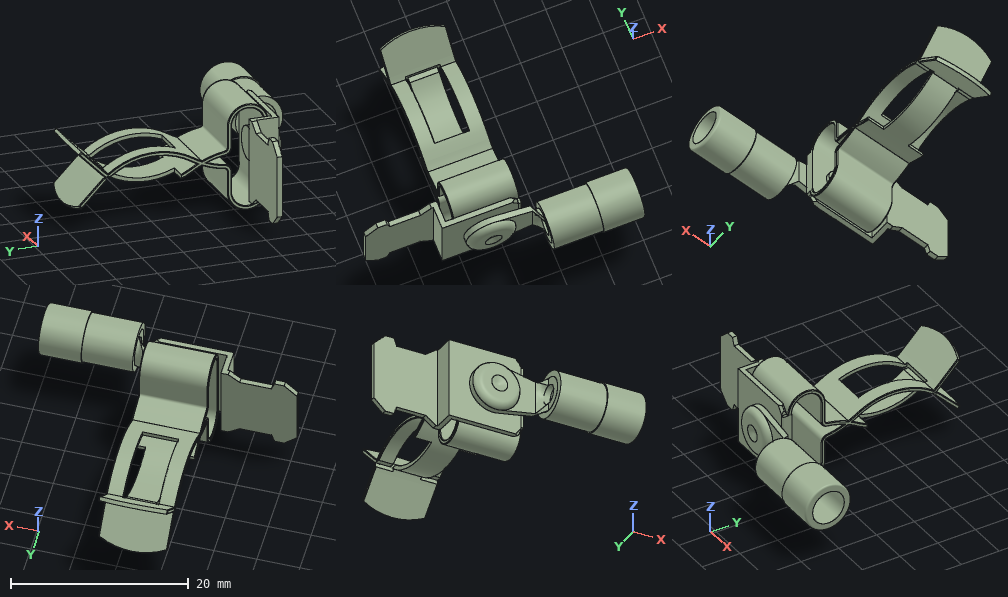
import cadquery as cq
import math


plate = 0.65
bracket_half_height = 5.0
bracket_left = -13.8
bracket_right = 3.65
bracket_fold_x = -5.6
bracket_step = 3.35
flange_end_half_height = 3.65
flange_neck_half_height = 4.05
flange_shoulder_start = 1.48
flange_shoulder_end = 2.62
flange_neck_start = 2.95
flange_neck_end = 6.65
flange_full_start = 7.98
corner_cut_x = 0.35
corner_cut_z = 0.43
corner_bevel = 0.3

strip = 0.5
clip_half_width = 4.0
clip_edge_chamfer = 0.1
lip_edge_fillet = 0.12
clip_height = 12.8
wall_back_y = 5.58
wall_bend_radius = 0.62
arm_slope = 8.0
crossing_slope = 31.5
tab_slope = 45.0
lobe_radius = 8.95
lobe_y = 14.45
lobe_depth = 1.9
tab_tip_y = 24.2
tab_crown = 1.0
tongue_half_width = 1.8
window_half_width = 2.1
opening_start_y = 11.15
opening_end_y = 20.2

lug_thickness = 0.75
eye_radius = 3.0
lug_flat_end_x = 5.05
barrel_radius = 2.1
barrel_bore_radius = 1.17
barrel_length = 0.83
sleeve_start_x = 6.0
sleeve_step_x = 11.95
sleeve_end_x = 17.0
sleeve_front_radius = 2.85
sleeve_rear_radius = 3.02
sleeve_end_fillet = 0.25

shank_radius = 1.55
head_height = 0.85
head_flat_radius = 2.0
head_edge_radius = 0.95
dimple_radius = 1.02
dimple_depth = 0.5
tail_radius = 2.0
tail_height = 0.45

base_front_y = plate
base_mid_y = base_front_y + strip / 2
base_back_y = base_front_y + strip
wall_mid_y = wall_back_y - strip / 2
loop_radius = (wall_mid_y - base_mid_y) / 2
loop_z = clip_height / 2 - strip / 2 - loop_radius
clip_width = 2 * clip_half_width
far = 61.62


def sine(degrees):
    return math.sin(math.radians(degrees))


def cosine(degrees):
    return math.cos(math.radians(degrees))


def y_cylinder(radius, start_y, end_y):
    """Cylinder on the rivet axis."""
    return cq.Workplane("XZ", origin=(0, start_y, 0)).circle(radius).extrude(start_y - end_y)


def box(x_range, y_range, z_range):
    """Box between the low and high ends of three ranges."""
    sizes = [high - low for low, high in (x_range, y_range, z_range)]
    corner = (x_range[0], y_range[0], z_range[0])
    return cq.Workplane(cq.Plane(origin=corner)).box(*sizes, centered=False)


def make_bracket():
    inner_fold_x = bracket_fold_x + plate
    section = (
        cq.Workplane("XY", origin=(0, 0, -bracket_half_height))
        .moveTo(bracket_right, 0)
        .lineTo(bracket_fold_x, 0)
        .lineTo(bracket_fold_x, bracket_step - plate)
        .lineTo(bracket_left, bracket_step - plate)
        .lineTo(bracket_left, bracket_step)
        .lineTo(inner_fold_x, bracket_step)
        .lineTo(inner_fold_x, plate)
        .lineTo(bracket_right, plate)
        .close()
        .extrude(2 * bracket_half_height)
    )
    upper_outline = [
        (bracket_left, flange_end_half_height),
        (bracket_left + flange_shoulder_start, bracket_half_height),
        (bracket_left + flange_shoulder_end, bracket_half_height),
        (bracket_left + flange_neck_start, flange_neck_half_height),
        (bracket_left + flange_neck_end, flange_neck_half_height),
        (bracket_left + flange_full_start, bracket_half_height),
        (bracket_right - corner_cut_x, bracket_half_height),
        (bracket_right, bracket_half_height - corner_cut_z),
    ]
    lower_outline = [(x, -z) for x, z in reversed(upper_outline)]
    outline = cq.Workplane("XZ").polyline(upper_outline + lower_outline).close().extrude(-far)
    bracket = section.intersect(outline)
    for side in (1, -1):
        bracket = bracket.cut(corner_bevels(side))
    return bracket.cut(y_cylinder(shank_radius, 0, plate))


def corner_bevels(side):
    """Two wedges that bring a cut corner of the main plate to an edge at mid thickness."""
    length = math.hypot(corner_cut_x, corner_cut_z)
    normal = cq.Vector(corner_cut_z / length, 0, side * corner_cut_x / length)
    along = cq.Vector(-corner_cut_x / length, 0, side * corner_cut_z / length)
    edge_point = cq.Vector(bracket_right, plate / 2, side * (bracket_half_height - corner_cut_z))
    reach = plate
    plane = cq.Plane(origin=edge_point - along * (far / 2), xDir=normal, normal=along)
    y_sign = plane.yDir.y
    wedges = cq.Workplane("XY")
    for face in (1, -1):
        offset = face * y_sign * plate / 2
        wedge = (
            cq.Workplane(plane)
            .polyline([(0, 0), (-corner_bevel, offset), (reach, offset), (reach, 0)])
            .close()
            .extrude(far)
        )
        wedges = wedges.add(wedge)
    return wedges.combine()


def arm_legs():
    """Legs of the strip's middle line from the base centre to the tab: (length, 0) or (radius, turn)."""
    reverse_start_y = wall_mid_y + wall_bend_radius * (1 - sine(arm_slope))
    lobe_start_y = lobe_y - lobe_radius * sine(crossing_slope)
    reverse_radius = (lobe_start_y - reverse_start_y) / (sine(crossing_slope) - sine(arm_slope))
    wall_end_z = (
        lobe_radius * (1 - cosine(crossing_slope))
        - lobe_depth
        + reverse_radius * (cosine(arm_slope) - cosine(crossing_slope))
        + wall_bend_radius * cosine(arm_slope)
    )
    lobe_end_y = lobe_y + lobe_radius * sine(tab_slope)
    tab_rise_y = tab_tip_y - strip / 2 * sine(tab_slope) - lobe_end_y
    return [
        (loop_z, 0),
        (loop_radius, -180),
        (loop_z - wall_end_z, 0),
        (wall_bend_radius, 90 - arm_slope),
        (reverse_radius, arm_slope - crossing_slope),
        (lobe_radius, crossing_slope + tab_slope),
        (tab_rise_y / cosine(tab_slope), 0),
    ]


def advance(pose, size, turn):
    """Move a (y, z, heading) pose along a straight leg (turn 0) or an arc of the given radius."""
    y, z, heading = pose
    if turn == 0:
        return (y + size * cosine(heading), z + size * sine(heading), heading)
    hand = math.copysign(size, turn)
    new_heading = heading + turn
    new_y = y + hand * (sine(new_heading) - sine(heading))
    new_z = z - hand * (cosine(new_heading) - cosine(heading))
    return (new_y, new_z, new_heading)


def beside(pose, offset):
    """Point at a distance to the left of a pose."""
    y, z, heading = pose
    return (y - offset * sine(heading), z + offset * cosine(heading))


def draw_side(sketch, legs, offset):
    """Draw one side of the strip along (middle pose, end pose, is arc) legs."""
    for middle, end, is_arc in legs:
        if is_arc:
            sketch = sketch.threePointArc(beside(middle, offset), beside(end, offset))
        else:
            sketch = sketch.lineTo(*beside(end, offset))
    return sketch


def make_arm():
    """Half of the clip: base, loop, wall, lower lobe and upper tab, at full width."""
    start = (base_mid_y, 0, 90)
    pose = start
    forward = []
    backward = []
    for size, turn in arm_legs():
        middle = advance(pose, size if turn else size / 2, turn / 2)
        end = advance(pose, size, turn)
        forward.append((middle, end, turn != 0))
        backward.insert(0, (middle, pose, turn != 0))
        pose = end
    sketch = cq.Workplane("YZ", origin=(-clip_half_width, 0, 0)).moveTo(*beside(start, strip / 2))
    sketch = draw_side(sketch, forward, strip / 2).lineTo(*beside(pose, -strip / 2))
    arm = draw_side(sketch, backward, -strip / 2).close().extrude(clip_width)
    arm = arm.cut(tab_end_waste(pose))
    return arm.faces("<X or >X").edges().chamfer(clip_edge_chamfer)


def tab_end_waste(tip_pose):
    """Material beyond the rounded end of the tab."""
    tip_y, tip_z, heading = tip_pose
    plane = cq.Plane(
        origin=(0, tip_y, tip_z), xDir=(1, 0, 0), normal=(0, -sine(heading), cosine(heading))
    )
    margin = 2 * strip
    return (
        cq.Workplane(plane)
        .moveTo(-clip_half_width, -tab_crown)
        .threePointArc((0, 0), (clip_half_width, -tab_crown))
        .lineTo(clip_half_width + margin, -tab_crown)
        .lineTo(clip_half_width + margin, margin)
        .lineTo(-clip_half_width - margin, margin)
        .lineTo(-clip_half_width - margin, -tab_crown)
        .close()
        .extrude(strip, both=True)
    )


def make_lip():
    """Flange of the clip base that hooks around the right edge of the bracket."""
    lip = box((bracket_right, clip_half_width), (0, base_back_y), (-loop_z, loop_z))
    return lip.edges("|Z and >X and <Y").fillet(lip_edge_fillet)


def make_clip():
    """Both arms: windowed above the mid plane, narrowed to a tongue below it."""
    arm = make_arm()
    clip = arm.union(arm.mirror("XY"))
    opening_y = (opening_start_y, opening_end_y)
    window_x = (-window_half_width, window_half_width)
    clip = clip.cut(box(window_x, opening_y, (0, far)))
    for x_range in ((-far, -tongue_half_width), (tongue_half_width, far)):
        clip = clip.cut(box(x_range, opening_y, (-far, 0)))
    return clip.union(make_lip()).cut(y_cylinder(shank_radius, base_front_y, base_back_y))


def make_lug():
    """Flat strip with a round eye, tapering tangentially to the barrel inside the sleeve."""
    corner_reach = math.hypot(lug_flat_end_x, barrel_radius)
    corner_angle = math.atan2(barrel_radius, lug_flat_end_x)
    tangent_angle = corner_angle + math.acos(eye_radius / corner_reach)
    tangent = (eye_radius * math.cos(tangent_angle), eye_radius * math.sin(tangent_angle))
    flat = (
        cq.Workplane("XZ")
        .moveTo(*tangent)
        .threePointArc((-eye_radius, 0), (tangent[0], -tangent[1]))
        .lineTo(lug_flat_end_x, -barrel_radius)
        .lineTo(lug_flat_end_x, barrel_radius)
        .close()
        .extrude(lug_thickness)
        .cut(y_cylinder(shank_radius, 0, -lug_thickness))
    )
    barrel = (
        cq.Workplane("YZ", origin=(sleeve_start_x, -barrel_radius, 0))
        .circle(barrel_radius)
        .circle(barrel_bore_radius)
        .extrude(barrel_length)
    )
    return flat.union(make_lug_transition()).union(barrel)


def closed_edges(x, corners, arc_middles):
    """Edges around a closed outline in a YZ plane; None among the middles stands for a straight edge."""
    edges = []
    for index, (y, z) in enumerate(corners):
        start = cq.Vector(x, y, z)
        end = cq.Vector(x, *corners[(index + 1) % len(corners)])
        if arc_middles[index] is None:
            edges.append(cq.Edge.makeLine(start, end))
        else:
            middle = cq.Vector(x, *arc_middles[index])
            edges.append(cq.Edge.makeThreePointArc(start, middle, end))
    return edges


def make_lug_transition():
    """Ruled solid from the end of the flat strip to the rear half of the barrel's ring."""
    strip_corners = [
        (-lug_thickness, -barrel_radius),
        (0, -barrel_radius),
        (0, barrel_radius),
        (-lug_thickness, barrel_radius),
    ]
    ring_corners = [
        (-barrel_radius, -barrel_bore_radius),
        (-barrel_radius, -barrel_radius),
        (-barrel_radius, barrel_radius),
        (-barrel_radius, barrel_bore_radius),
    ]
    ring_middles = [None, (0, 0), None, (barrel_bore_radius - barrel_radius, 0)]
    strip_edges = closed_edges(lug_flat_end_x, strip_corners, [None] * len(strip_corners))
    ring_edges = closed_edges(sleeve_start_x, ring_corners, ring_middles)
    faces = [cq.Face.makeRuledSurface(*pair) for pair in zip(strip_edges, ring_edges)]
    for edges in (strip_edges, ring_edges):
        faces.append(cq.Face.makeFromWires(cq.Wire.assembleEdges(edges)))
    return cq.Workplane(cq.Solid.makeSolid(cq.Shell.makeShell(faces)))


def make_sleeve():
    start = cq.Workplane("YZ", origin=(sleeve_start_x, -barrel_radius, 0))
    front = start.circle(sleeve_front_radius).extrude(sleeve_step_x - sleeve_start_x)
    rear = (
        start.workplane(offset=sleeve_step_x - sleeve_start_x)
        .circle(sleeve_rear_radius)
        .extrude(sleeve_end_x - sleeve_step_x)
        .faces(">X")
        .edges()
        .fillet(sleeve_end_fillet)
    )
    bore = start.circle(barrel_radius).extrude(sleeve_end_x - sleeve_start_x)
    return front.union(rear).cut(bore)


def make_rivet():
    head_y = -lug_thickness
    head_top_y = head_y - head_height
    tail_y = base_back_y + tail_height
    profile = (
        cq.Workplane("XY")
        .moveTo(0, head_top_y + dimple_depth)
        .lineTo(dimple_radius, head_top_y)
        .lineTo(head_flat_radius, head_top_y)
        .radiusArc((eye_radius, head_y), -head_edge_radius)
        .lineTo(shank_radius, head_y)
        .lineTo(shank_radius, base_back_y)
        .lineTo(tail_radius, base_back_y)
        .lineTo(tail_radius, tail_y)
        .lineTo(0, tail_y)
        .close()
    )
    return profile.revolve(360, (0, 0, 0), (0, 1, 0))


bracket = make_bracket()
clip = make_clip()
lug = make_lug()
sleeve = make_sleeve()
rivet = make_rivet()

result = cq.Compound.makeCompound(
    [body.solids().val() for body in (bracket, clip, lug, sleeve, rivet)]
)